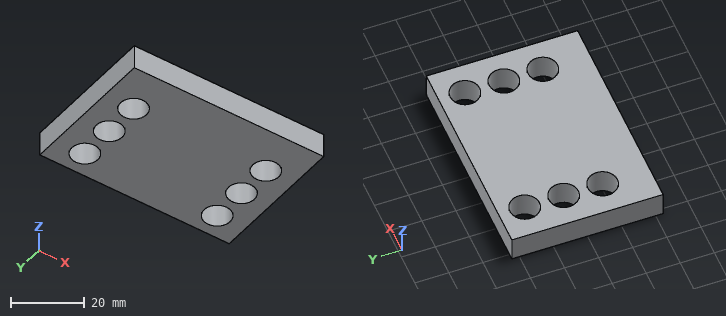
import cadquery as cq

length = 63.5
width = 44.45
thickness = 8.0

hole_diameter = 8.65
column_spacing = 44.3
hole_pitch = 11.4
holes_per_column = 3
left_edge_to_hole = 9.7
back_edge_to_hole = 7.6

left_column_x = -length / 2 + left_edge_to_hole
first_hole_y = width / 2 - back_edge_to_hole
hole_centers = [
    (column_x, first_hole_y - row * hole_pitch)
    for column_x in (left_column_x, left_column_x + column_spacing)
    for row in range(holes_per_column)
]

plate = cq.Workplane("XY").box(length, width, thickness)
result = plate.faces(">Z").workplane().pushPoints(hole_centers).hole(hole_diameter)